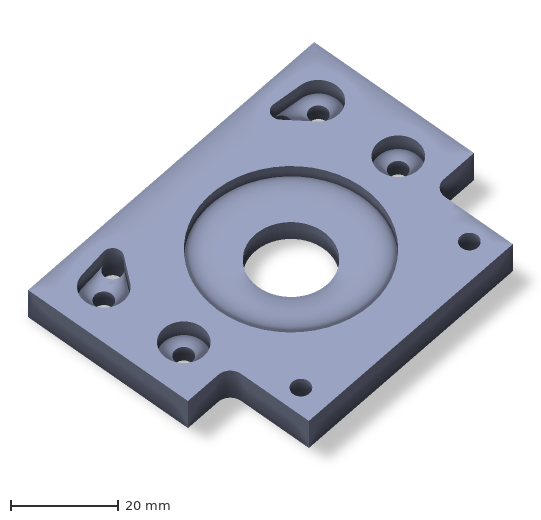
import cadquery as cq
import math

LENGTH = 80.0
WIDTH = 60.0
THICKNESS = 8.0

TONGUE_WIDTH = 57.0
NOTCH_X = 10.0
NOTCH_RADIUS = 3.0

BORE_DIAMETER = 18.0
RECESS_DIAMETER = 40.0
RECESS_DEPTH = 3.0

HOLE_DIAMETER = 4.2
MOTOR_HOLE_PITCH = 47.1
COUNTERBORE_DIAMETER = 10.0
COUNTERBORE_DEPTH = 4.0
MOUNT_HOLE_PITCH_Y = 60.0
OUTER_MOUNT_X = -20.0
INNER_MOUNT_X = 0.0

MOTOR_OFFSET = MOTOR_HOLE_PITCH / 2
MOUNT_Y = MOUNT_HOLE_PITCH_Y / 2
SIDES = (-1, 1)


def make_plate():
    """Rectangular plate with a filleted notch in each +X corner."""
    plate = cq.Workplane("XY").box(WIDTH, LENGTH, THICKNESS, centered=(True, True, False))
    notch_x_size = WIDTH / 2 - NOTCH_X
    notch_y_size = (LENGTH - TONGUE_WIDTH) / 2
    for side in SIDES:
        notch = (
            cq.Workplane("XY")
            .center(NOTCH_X + notch_x_size / 2, side * (LENGTH - notch_y_size) / 2)
            .rect(notch_x_size, notch_y_size)
            .extrude(THICKNESS)
        )
        inner_edge = "<X and >Y" if side < 0 else "<X and <Y"
        plate = plate.cut(notch.edges("|Z").edges(inner_edge).fillet(NOTCH_RADIUS))
    return plate


def cylinder_pocket(center, diameter, depth):
    """Round cutter reaching down from the top face."""
    return cq.Workplane("XY", origin=(*center, THICKNESS)).circle(diameter / 2).extrude(-depth)


def teardrop_pocket(large_center, small_center, depth):
    """Cutter bounded by a counterbore circle, a hole circle and their outer tangents."""
    large_radius = COUNTERBORE_DIAMETER / 2
    small_radius = HOLE_DIAMETER / 2
    dx = small_center[0] - large_center[0]
    dy = small_center[1] - large_center[1]
    axis_angle = math.atan2(dy, dx)
    spread = math.acos((large_radius - small_radius) / math.hypot(dx, dy))

    def on_circle(center, radius, angle):
        return (center[0] + radius * math.cos(angle), center[1] + radius * math.sin(angle))

    return (
        cq.Workplane("XY", origin=(0, 0, THICKNESS))
        .moveTo(*on_circle(large_center, large_radius, axis_angle + spread))
        .threePointArc(
            on_circle(large_center, large_radius, axis_angle + math.pi),
            on_circle(large_center, large_radius, axis_angle - spread),
        )
        .lineTo(*on_circle(small_center, small_radius, axis_angle - spread))
        .threePointArc(
            on_circle(small_center, small_radius, axis_angle),
            on_circle(small_center, small_radius, axis_angle + spread),
        )
        .close()
        .extrude(-depth)
    )


result = make_plate()

result = result.cut(cylinder_pocket((0, 0), RECESS_DIAMETER, RECESS_DEPTH))
result = result.cut(cylinder_pocket((0, 0), BORE_DIAMETER, THICKNESS))

for side in SIDES:
    outer_mount = (OUTER_MOUNT_X, side * MOUNT_Y)
    inner_mount = (INNER_MOUNT_X, side * MOUNT_Y)
    left_motor_hole = (-MOTOR_OFFSET, side * MOTOR_OFFSET)
    right_motor_hole = (MOTOR_OFFSET, side * MOTOR_OFFSET)

    result = result.cut(cylinder_pocket(inner_mount, COUNTERBORE_DIAMETER, COUNTERBORE_DEPTH))
    result = result.cut(teardrop_pocket(outer_mount, left_motor_hole, COUNTERBORE_DEPTH))

    for center in (outer_mount, inner_mount, left_motor_hole, right_motor_hole):
        result = result.cut(cylinder_pocket(center, HOLE_DIAMETER, THICKNESS))